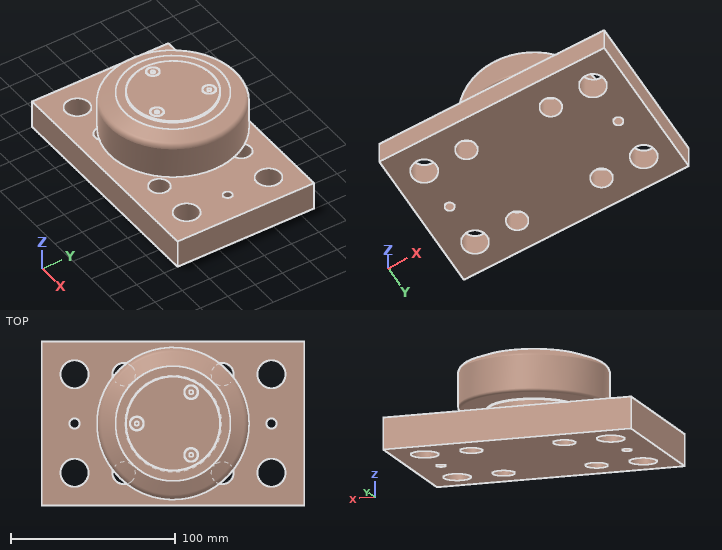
import cadquery as cq

plate_length = 160.0
plate_width = 100.0
plate_thickness = 20.2
hole_spacing = 60.0
corner_hole_diameter = 17.0
inner_hole_diameter = 13.8
pin_hole_diameter = 6.0

total_height = 61.0
cover_height = 1.1
roller_top = total_height - cover_height
roller_clearance = 10.0
roller_bottom = plate_thickness + roller_clearance

neck_diameter = 59.0
collar_diameter = 57.8
collar_height = 0.6
roller_radius = 46.4
roller_flat_radius = 35.0
cone_outer_radius = 43.5
cone_drop = 3.2
shoulder_drop = 6.5
lower_edge_radius = 2.0

cover_diameter = 57.8
cover_chamfer = 0.3
screw_count = 3
screw_circle_radius = 22.0
screw_recess_diameter = 8.6
screw_head_diameter = 7.8
screw_socket_diameter = 2.5
screw_recess_depth = 3.2
screw_socket_depth = 0.5


def make_plate():
    """Rectangular plate with eight mounting holes and two pin holes."""
    plate = cq.Workplane("XY").box(plate_length, plate_width, plate_thickness, centered=(True, True, False))
    plate = plate.faces(">Z").workplane()
    plate = plate.rarray(2 * hole_spacing, hole_spacing, 2, 2).hole(corner_hole_diameter)
    plate = plate.faces(">Z").workplane().rarray(hole_spacing, hole_spacing, 2, 2).hole(inner_hole_diameter)
    pin_points = [(-hole_spacing, 0), (hole_spacing, 0)]
    return plate.faces(">Z").workplane().pushPoints(pin_points).hole(pin_hole_diameter)


def cylinder(diameter, bottom, top):
    """Vertical cylinder on the roller axis."""
    return cq.Workplane("XY").workplane(offset=bottom).circle(diameter / 2).extrude(top - bottom)


def make_roller():
    """Roller with a conical top, a rounded shoulder and a rounded lower edge."""
    profile = (
        cq.Workplane("XZ")
        .moveTo(0, roller_bottom)
        .lineTo(0, roller_top)
        .lineTo(roller_flat_radius, roller_top)
        .lineTo(cone_outer_radius, roller_top - cone_drop)
        .tangentArcPoint((roller_radius, roller_top - shoulder_drop), relative=False)
        .lineTo(roller_radius, roller_bottom + lower_edge_radius)
        .radiusArc((roller_radius - lower_edge_radius, roller_bottom), lower_edge_radius)
        .close()
    )
    return profile.revolve(360, (0, 0, 0), (0, 1, 0))


def make_cover():
    """Chamfered disc on top of the roller."""
    return cylinder(cover_diameter, roller_top, total_height).faces(">Z").edges().chamfer(cover_chamfer)


def screw_places():
    """Screw centres on the top face of the cover."""
    top = cq.Workplane("XY").workplane(offset=total_height)
    return top.polarArray(screw_circle_radius, 180, 360, screw_count)


def screw_cuts():
    """Ring gaps around the flush screw heads, and the sockets in the heads."""
    gaps = screw_places().circle(screw_recess_diameter / 2).extrude(-screw_recess_depth)
    heads = screw_places().circle(screw_head_diameter / 2).extrude(-screw_recess_depth)
    sockets = screw_places().circle(screw_socket_diameter / 2).extrude(-screw_socket_depth)
    return gaps.cut(heads).union(sockets)


neck_top = roller_bottom - collar_height
neck = cylinder(neck_diameter, plate_thickness, neck_top)
collar = cylinder(collar_diameter, neck_top, roller_bottom)
result = make_plate().union(neck).union(collar).union(make_roller()).union(make_cover()).cut(screw_cuts())